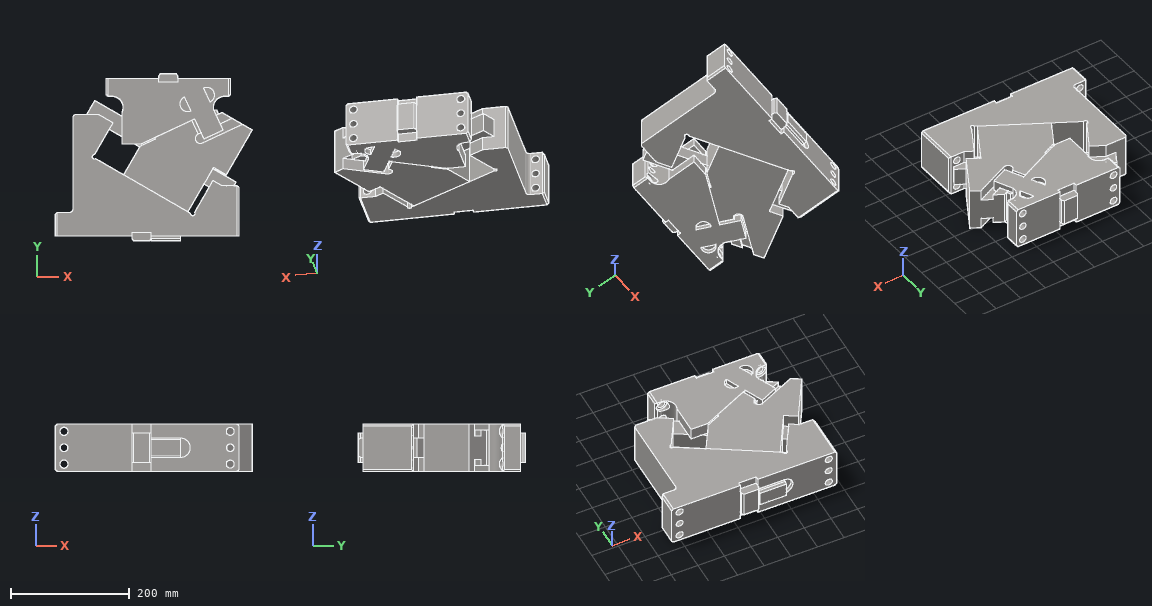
import cadquery as cq
import math


THICKNESS = 80.0
HALF = THICKNESS / 2
OVERSIZE = 199.5
SLIDE_ANGLE = -30
CAM_ANGLE = 25
EDGE_CHAMFER = 3.3

BOLT_OFFSET_Z = 27.5
BOLT_RADIUS = 6.5
DOWEL_RADIUS = 6.3

KEY_WIDTH = 32.5
KEY_LENGTH = 50.0
KEY_HEIGHT = 8.3
KEY_RECESS = 6.3
KEY_CHAMFER_SIDE = 2.5
KEY_CHAMFER_HEIGHT = 4.3

BASE_LENGTH = 310.0
BASE_FLANGE_HEIGHT = 40.0
BASE_FLANGE_LENGTH = 30.0
BASE_LEFT_HEIGHT = 205.0
BASE_RIGHT_HEIGHT = 85.0
BASE_INNER_FILLET = 6.0
BASE_TOP_CHAMFER = 3.3
BASE_HOLE_INSET = 15.0
BASE_KEY_X = 145.5
LONG_KEY_END_X = 211.5

FLOOR_V = 147.2
WALL_TOP_V = 214.0
WALL_LEFT_U = -11.0
WALL_RIGHT_U = 183.5
CORNER_RELIEF_RADIUS = 3.5
CORNER_RELIEF_INSET = 1.5

BAR_START_U = -56.5
BAR_END_U = 218.5
BAR_BOTTOM_V = 201.0
BAR_TOP_V = 231.3
BAR_DEPTH_Z = 33.0

SLIDER_LEFT_U = 48.2
SLIDER_RIGHT_U = 173.5
SLIDER_NOSE_U = 198.5
SLIDER_NOTCH_V = 233.3
SLIDER_TOP_V = 321.0
CAM_FACE_Q = 79.5
CAM_RELIEF = 2.5
CAM_RELIEF_END_P = 222.0

SHELF_TOP_Q = 69.8
SHELF_BOTTOM_Q = 54.0
SHELF_HALF_Z = 30.0
POCKET_LEFT_P = 291.0
POCKET_BOTTOM_Q = 37.2
POCKET_FLOOR_Z = 20.0
POCKET_CORNER_RADIUS = 8.3

DRIVER_LEFT_X = 85.5
DRIVER_RIGHT_X = 295.8
DRIVER_CENTRE_X = (DRIVER_LEFT_X + DRIVER_RIGHT_X) / 2
DRIVER_TOP_Y = 265.5
DRIVER_FLANGE_Y = 235.3
DRIVER_BOTTOM_Y = 155.0
DRIVER_BODY_LEFT_X = 112.5
DRIVER_BODY_RIGHT_X = 267.2
SCALLOP_RADIUS = 18.5
SCALLOP_INSET = 10.3
SCALLOP_LEFT_X = DRIVER_LEFT_X + SCALLOP_INSET
SCALLOP_RIGHT_X = DRIVER_RIGHT_X - SCALLOP_INSET
SCALLOP_Y = DRIVER_FLANGE_Y - SCALLOP_RADIUS
DRIVER_HOLE_INSET = 13.0
SPOTFACE_RADIUS = 10.5
SPOTFACE_DEPTH = 5.0
BAR_SLOT_DEPTH_Z = 34.0

LEG_LEFT_P = 296.5
LEG_RIGHT_P = 332.0
LEG_BOTTOM_Q = 42.2
LEG_TOP_Q = 107.5
LEG_RELIEF_RADIUS = 13.0
PAD_RIGHT_P = 336.5
PAD_TOP_Y = 212.7


def turned(along, across, angle):
    """X, Y of a point given in axes turned by angle about the origin."""
    a = math.radians(angle)
    return (along * math.cos(a) - across * math.sin(a),
            along * math.sin(a) + across * math.cos(a))


def slide(u, v):
    return turned(u, v, SLIDE_ANGLE)


def cam(p, q):
    return turned(p, q, CAM_ANGLE)


def line_at(distance, normal_angle):
    """Line given by its distance from the origin and the direction of its normal."""
    a = math.radians(normal_angle)
    return (math.cos(a), math.sin(a), distance)


def x_line(x):
    return line_at(x, 0)


def y_line(y):
    return line_at(y, 90)


def u_line(u):
    return line_at(u, SLIDE_ANGLE)


def v_line(v):
    return line_at(v, SLIDE_ANGLE + 90)


def p_line(p):
    return line_at(p, CAM_ANGLE)


def q_line(q):
    return line_at(q, CAM_ANGLE + 90)


def crossing(first, second):
    """X, Y of the point where two lines cross."""
    a1, b1, d1 = first
    a2, b2, d2 = second
    det = a1 * b2 - a2 * b1
    return ((d1 * b2 - d2 * b1) / det, (a1 * d2 - a2 * d1) / det)


def prism(points, z_low=-HALF, z_high=HALF):
    return cq.Workplane("XY").workplane(offset=z_low).polyline(points).close().extrude(z_high - z_low)


def disc(centre, radius, z_low=-HALF, z_high=HALF):
    return cq.Workplane("XY").workplane(offset=z_low).center(*centre).circle(radius).extrude(z_high - z_low)


def both_sides(solid):
    """The solid together with its mirror image across Z = 0."""
    return solid.union(solid.mirror("XY"))


def y_cylinder(x, z, radius, y_low, y_high):
    return cq.Workplane("XY").add(
        cq.Solid.makeCylinder(radius, y_high - y_low, cq.Vector(x, y_low, z), cq.Vector(0, 1, 0)))


def box(x_low, x_high, y_low, y_high, z_half):
    return prism([(x_low, y_low), (x_high, y_low), (x_high, y_high), (x_low, y_high)], -z_half, z_half)


def z_edge_at(x, y):
    """Selector for the single edge parallel to Z that passes through x, y."""
    reach = 0.3
    return cq.selectors.BoxSelector((x - reach, y - reach, -HALF), (x + reach, y + reach, HALF))


def chamfer_flange_ends(body, ends, y_low, y_high):
    """Bevel the front and back edges of both flange end faces."""
    for x, inward in ends:
        for side in (-1, 1):
            corner_z = side * HALF
            wedge = (cq.Workplane("XZ", origin=(0, y_low, 0))
                     .polyline([(x, corner_z), (x + inward * EDGE_CHAMFER, corner_z),
                                (x, corner_z - side * EDGE_CHAMFER)])
                     .close().extrude(y_low - y_high))
            body = body.cut(wedge)
    return body


def cross_key(centre_x, face_y, outward):
    """Key across the mounting face; outward is the Y sign of the face normal."""
    half = KEY_WIDTH / 2
    root_y = face_y - outward * KEY_RECESS
    shoulder_y = face_y + outward * (KEY_HEIGHT - KEY_CHAMFER_HEIGHT)
    tip_y = face_y + outward * KEY_HEIGHT
    tip_half = half - KEY_CHAMFER_SIDE
    outline = [(-half, root_y), (-half, shoulder_y), (-tip_half, tip_y),
               (tip_half, tip_y), (half, shoulder_y), (half, root_y)]
    return prism([(centre_x + x, y) for x, y in outline], -KEY_LENGTH / 2, KEY_LENGTH / 2)


def key_recess(centre_x, face_y, outward):
    y_low, y_high = sorted([face_y, face_y - outward * KEY_RECESS])
    return box(centre_x - KEY_WIDTH / 2, centre_x + KEY_WIDTH / 2, y_low, y_high, HALF)


def base_profile():
    wall_top_left = crossing(v_line(WALL_TOP_V), y_line(BASE_LEFT_HEIGHT))
    wall_top_right = crossing(v_line(WALL_TOP_V), y_line(BASE_RIGHT_HEIGHT))
    return [(0, 0), (BASE_LENGTH, 0), (BASE_LENGTH, BASE_RIGHT_HEIGHT), wall_top_right,
            slide(WALL_RIGHT_U, WALL_TOP_V), slide(WALL_RIGHT_U, FLOOR_V),
            slide(WALL_LEFT_U, FLOOR_V), slide(WALL_LEFT_U, WALL_TOP_V), wall_top_left,
            (BASE_FLANGE_LENGTH, BASE_LEFT_HEIGHT), (BASE_FLANGE_LENGTH, BASE_FLANGE_HEIGHT),
            (0, BASE_FLANGE_HEIGHT)]


def retaining_bar():
    return prism([slide(BAR_START_U, BAR_BOTTOM_V), slide(BAR_END_U, BAR_BOTTOM_V),
                  slide(BAR_END_U, BAR_TOP_V), slide(BAR_START_U, BAR_TOP_V)],
                 -BAR_DEPTH_Z / 2, BAR_DEPTH_Z / 2)


def long_key_slot():
    half = KEY_WIDTH / 2
    slot = box(BASE_KEY_X, LONG_KEY_END_X, 0, KEY_RECESS, half)
    return slot.union(y_cylinder(LONG_KEY_END_X, 0, half, 0, KEY_RECESS))


def long_key():
    half = KEY_WIDTH / 2
    shoulder_y = KEY_CHAMFER_HEIGHT - KEY_HEIGHT
    tip_half = half - KEY_CHAMFER_SIDE
    start_x = BASE_KEY_X + KEY_WIDTH / 2
    return (cq.Workplane("YZ", origin=(start_x, 0, 0))
            .polyline([(KEY_RECESS, -half), (shoulder_y, -half), (-KEY_HEIGHT, -tip_half),
                       (-KEY_HEIGHT, tip_half), (shoulder_y, half), (KEY_RECESS, half)])
            .close().extrude(LONG_KEY_END_X - start_x))


def make_base():
    body = prism(base_profile())
    body = body.edges(z_edge_at(BASE_FLANGE_LENGTH, BASE_FLANGE_HEIGHT)).fillet(BASE_INNER_FILLET)
    body = body.edges(z_edge_at(BASE_FLANGE_LENGTH, BASE_LEFT_HEIGHT)).chamfer(BASE_TOP_CHAMFER)
    body = body.edges(z_edge_at(0, BASE_FLANGE_HEIGHT)).chamfer(EDGE_CHAMFER)
    body = body.edges(z_edge_at(BASE_LENGTH, BASE_RIGHT_HEIGHT)).chamfer(EDGE_CHAMFER)
    body = chamfer_flange_ends(body, [(0, 1), (BASE_LENGTH, -1)], 0, BASE_RIGHT_HEIGHT)

    relief_v = FLOOR_V + CORNER_RELIEF_INSET
    for relief_u in (WALL_LEFT_U + CORNER_RELIEF_INSET, WALL_RIGHT_U - CORNER_RELIEF_INSET):
        body = body.cut(disc(slide(relief_u, relief_v), CORNER_RELIEF_RADIUS))

    for x in (BASE_HOLE_INSET, BASE_LENGTH - BASE_HOLE_INSET):
        for z, radius in ((-BOLT_OFFSET_Z, BOLT_RADIUS), (0, DOWEL_RADIUS), (BOLT_OFFSET_Z, BOLT_RADIUS)):
            body = body.cut(y_cylinder(x, z, radius, 0, BASE_RIGHT_HEIGHT))

    body = body.cut(key_recess(BASE_KEY_X, 0, -1)).cut(long_key_slot())
    body = body.union(cross_key(BASE_KEY_X, 0, -1)).union(long_key())
    return body.union(retaining_bar())


def make_slider():
    relief_q = CAM_FACE_Q - CAM_RELIEF
    body = prism([slide(SLIDER_LEFT_U, FLOOR_V), slide(SLIDER_RIGHT_U, FLOOR_V),
                  slide(SLIDER_RIGHT_U, SLIDER_NOTCH_V), slide(SLIDER_NOSE_U, SLIDER_NOTCH_V),
                  slide(SLIDER_NOSE_U, SLIDER_TOP_V), crossing(v_line(SLIDER_TOP_V), q_line(SHELF_TOP_Q)),
                  cam(LEG_LEFT_P, SHELF_TOP_Q), cam(LEG_LEFT_P, CAM_FACE_Q),
                  cam(CAM_RELIEF_END_P, CAM_FACE_Q), cam(CAM_RELIEF_END_P, relief_q),
                  crossing(u_line(SLIDER_LEFT_U), q_line(relief_q))])

    pocket_right_p = POCKET_LEFT_P + OVERSIZE
    upper_pocket = prism([cam(POCKET_LEFT_P, SHELF_BOTTOM_Q), cam(pocket_right_p, SHELF_BOTTOM_Q),
                          cam(pocket_right_p, CAM_FACE_Q), cam(POCKET_LEFT_P, CAM_FACE_Q)],
                         SHELF_HALF_Z, HALF)
    lower_pocket = prism([cam(POCKET_LEFT_P, POCKET_BOTTOM_Q), cam(pocket_right_p, POCKET_BOTTOM_Q),
                          cam(pocket_right_p, SHELF_BOTTOM_Q), cam(POCKET_LEFT_P, SHELF_BOTTOM_Q)],
                         POCKET_FLOOR_Z, HALF)
    corner = disc(cam(POCKET_LEFT_P, POCKET_BOTTOM_Q + POCKET_CORNER_RADIUS),
                  POCKET_CORNER_RADIUS, POCKET_FLOOR_Z, HALF)
    for cutter in (upper_pocket, lower_pocket, corner):
        body = body.cut(both_sides(cutter))

    return body.cut(retaining_bar())


def driver_body():
    """Driver block; its inner flange corners reach the scallop centres, ready for the round cuts."""
    right_corner = crossing(x_line(DRIVER_BODY_RIGHT_X), p_line(LEG_RIGHT_P))
    body = prism([(DRIVER_LEFT_X, DRIVER_TOP_Y), (DRIVER_RIGHT_X, DRIVER_TOP_Y),
                  (DRIVER_RIGHT_X, DRIVER_FLANGE_Y), (SCALLOP_RIGHT_X, DRIVER_FLANGE_Y),
                  (SCALLOP_RIGHT_X, SCALLOP_Y), (DRIVER_BODY_RIGHT_X, SCALLOP_Y),
                  right_corner, cam(LEG_RIGHT_P, CAM_FACE_Q),
                  crossing(q_line(CAM_FACE_Q), y_line(DRIVER_BOTTOM_Y)),
                  (DRIVER_BODY_LEFT_X, DRIVER_BOTTOM_Y), (DRIVER_BODY_LEFT_X, SCALLOP_Y),
                  (SCALLOP_LEFT_X, SCALLOP_Y), (SCALLOP_LEFT_X, DRIVER_FLANGE_Y),
                  (DRIVER_LEFT_X, DRIVER_FLANGE_Y)])
    for x in (DRIVER_LEFT_X, DRIVER_RIGHT_X):
        body = body.edges(z_edge_at(x, DRIVER_FLANGE_Y)).chamfer(EDGE_CHAMFER)
    return chamfer_flange_ends(body, [(DRIVER_LEFT_X, 1), (DRIVER_RIGHT_X, -1)],
                               DRIVER_FLANGE_Y, DRIVER_TOP_Y)


def driver_legs():
    """Plates on both sides that reach into the slider pockets and hook under its shelf."""
    plate = prism([cam(LEG_LEFT_P, LEG_BOTTOM_Q), cam(LEG_RIGHT_P, LEG_BOTTOM_Q),
                   cam(LEG_RIGHT_P, CAM_FACE_Q), cam(LEG_LEFT_P, CAM_FACE_Q)],
                  SHELF_HALF_Z, HALF)
    hook = prism([cam(LEG_LEFT_P, LEG_BOTTOM_Q), cam(LEG_RIGHT_P, LEG_BOTTOM_Q),
                  cam(LEG_RIGHT_P, SHELF_BOTTOM_Q), cam(LEG_LEFT_P, SHELF_BOTTOM_Q)],
                 POCKET_FLOOR_Z, HALF)
    return both_sides(plate.union(hook))


def shelf_pad():
    return prism([cam(LEG_LEFT_P, SHELF_TOP_Q), cam(PAD_RIGHT_P, SHELF_TOP_Q),
                  crossing(p_line(PAD_RIGHT_P), y_line(PAD_TOP_Y)),
                  crossing(p_line(LEG_LEFT_P), y_line(PAD_TOP_Y))],
                 -SHELF_HALF_Z, SHELF_HALF_Z)


def leg_seat_reliefs():
    """Half-round pockets outside the leg's edges at the inner end of its seat."""
    rounds = disc(cam(LEG_LEFT_P, LEG_TOP_Q), LEG_RELIEF_RADIUS, SHELF_HALF_Z, HALF)
    rounds = rounds.union(disc(cam(LEG_RIGHT_P, LEG_TOP_Q), LEG_RELIEF_RADIUS, SHELF_HALF_Z, HALF))
    leg_low_q = LEG_TOP_Q - LEG_RELIEF_RADIUS
    leg_high_q = LEG_TOP_Q + LEG_RELIEF_RADIUS
    leg = prism([cam(LEG_LEFT_P, leg_low_q), cam(LEG_RIGHT_P, leg_low_q),
                 cam(LEG_RIGHT_P, leg_high_q), cam(LEG_LEFT_P, leg_high_q)], SHELF_HALF_Z, HALF)
    return both_sides(rounds.cut(leg))


def bar_slot():
    """Clearance for the retaining bar, open towards the low corner of the driver."""
    low_v = BAR_TOP_V - OVERSIZE
    return prism([slide(-OVERSIZE, BAR_TOP_V), slide(OVERSIZE, BAR_TOP_V),
                  slide(OVERSIZE, low_v), slide(-OVERSIZE, low_v)],
                 -BAR_SLOT_DEPTH_Z / 2, BAR_SLOT_DEPTH_Z / 2)


def make_driver():
    body = driver_body()
    for x in (SCALLOP_LEFT_X, SCALLOP_RIGHT_X):
        body = body.cut(disc((x, SCALLOP_Y), SCALLOP_RADIUS))

    body = body.cut(bar_slot()).cut(leg_seat_reliefs())
    body = body.union(driver_legs()).union(shelf_pad())

    spotface_y = DRIVER_FLANGE_Y + SPOTFACE_DEPTH
    for x in (DRIVER_LEFT_X + DRIVER_HOLE_INSET, DRIVER_RIGHT_X - DRIVER_HOLE_INSET):
        body = body.cut(y_cylinder(x, 0, DOWEL_RADIUS, SCALLOP_Y, DRIVER_TOP_Y))
        for z in (-BOLT_OFFSET_Z, BOLT_OFFSET_Z):
            body = body.cut(y_cylinder(x, z, BOLT_RADIUS, SCALLOP_Y, DRIVER_TOP_Y))
            body = body.cut(y_cylinder(x, z, SPOTFACE_RADIUS, SCALLOP_Y, spotface_y))

    body = body.cut(key_recess(DRIVER_CENTRE_X, DRIVER_TOP_Y, 1))
    return body.union(cross_key(DRIVER_CENTRE_X, DRIVER_TOP_Y, 1))


base = make_base()
slider = make_slider()
driver = make_driver()

result = cq.Compound.makeCompound([base.solids().val(), slider.solids().val(), driver.solids().val()])